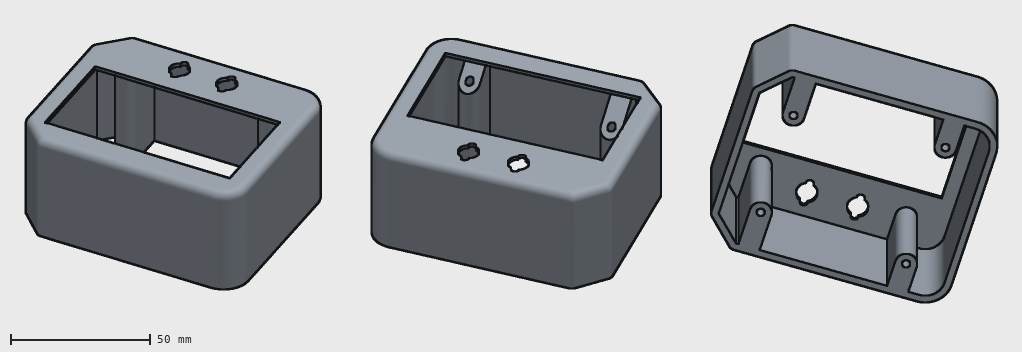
import cadquery as cq
import math

length = 91.0
width = 74.0
height = 42.0
edge_radius = 3.0
round_corner_radius = 10.0
corner_cut = 11.0

wall = 2.7
plate_thickness = 1.5
inner_height = height - plate_thickness

window_left = 8.2
window_front = 11.0
window_length = 74.7
window_width = 39.0

key_hole_count = 2
key_hole_start_x = 35.9
key_hole_spacing = 19.1
key_hole_y = 62.2
key_hole_diameter = 7.6
key_notch_diameter = 2.9
key_notch_offset = 3.6

post_positions = [(17.0, 17.0), (72.9, 13.0)]
post_radius = 4.0
post_slope_angle = 35.0
screw_hole_diameter = 2.9


def box_from(x, y, size_x, size_y, size_z):
    """Block standing on the base plane with its left front corner at (x, y)."""
    return cq.Workplane("XY").box(size_x, size_y, size_z, centered=False).translate((x, y, 0))


def make_body():
    """Solid block: cut corners on the left, round corners on the right, rounded top edge."""
    block = box_from(0, 0, length, width, height)
    block = block.edges("|Z and <X").chamfer(corner_cut)
    block = block.edges("|Z and >X").fillet(round_corner_radius)
    left_half = cq.selectors.BoxSelector((-length / 2, -width, 0), (length / 2, 2 * width, height))
    block = block.edges("|Z").edges(left_half).fillet(edge_radius)
    return block.faces(">Z").edges().fillet(edge_radius)


def make_cavity():
    """Space inside the walls, open at the bottom and closed by the top plate."""
    inner_cut = corner_cut - wall * (2 - math.sqrt(2))
    cavity = box_from(wall, wall, length - 2 * wall, width - 2 * wall, inner_height)
    cavity = cavity.edges("|Z and <X").chamfer(inner_cut)
    return cavity.edges("|Z and >X").fillet(round_corner_radius - wall)


def make_post(x, depth):
    """Round-ended screw post joined to the front wall and reaching up to the top plate."""
    web = box_from(x - post_radius, wall / 2, 2 * post_radius, depth - wall / 2, inner_height)
    tip = cq.Workplane("XY").center(x, depth).circle(post_radius).extrude(inner_height)
    hole = cq.Workplane("XY").center(x, depth).circle(screw_hole_diameter / 2).extrude(inner_height)
    return web.union(tip).cut(hole)


def make_slope_cutter(x, depth):
    """Wedge that slopes the top of a front post down from the corner of front wall and plate."""
    run = depth + post_radius - wall
    drop = run * math.tan(math.radians(post_slope_angle))
    return (
        cq.Workplane("YZ", origin=(x - post_radius, wall, inner_height))
        .lineTo(run, 0)
        .lineTo(run, -drop)
        .close()
        .extrude(2 * post_radius)
    )


def make_key_hole(x):
    """Round opening with a small notch at its front and back."""
    opening = cq.Workplane("XY").center(x, key_hole_y).circle(key_hole_diameter / 2).extrude(height)
    for offset in (-key_notch_offset, key_notch_offset):
        notch = cq.Workplane("XY").center(x, key_hole_y + offset).circle(key_notch_diameter / 2)
        opening = opening.union(notch.extrude(height))
    return opening


result = make_body().cut(make_cavity())
result = result.cut(box_from(window_left, window_front, window_length, window_width, height))

for index in range(key_hole_count):
    result = result.cut(make_key_hole(key_hole_start_x + index * key_hole_spacing))

for post_x, post_depth in post_positions:
    post = make_post(post_x, post_depth)
    front_post = post.cut(make_slope_cutter(post_x, post_depth))
    back_post = post.mirror("XZ", (0, width / 2, 0))
    result = result.union(front_post).union(back_post)